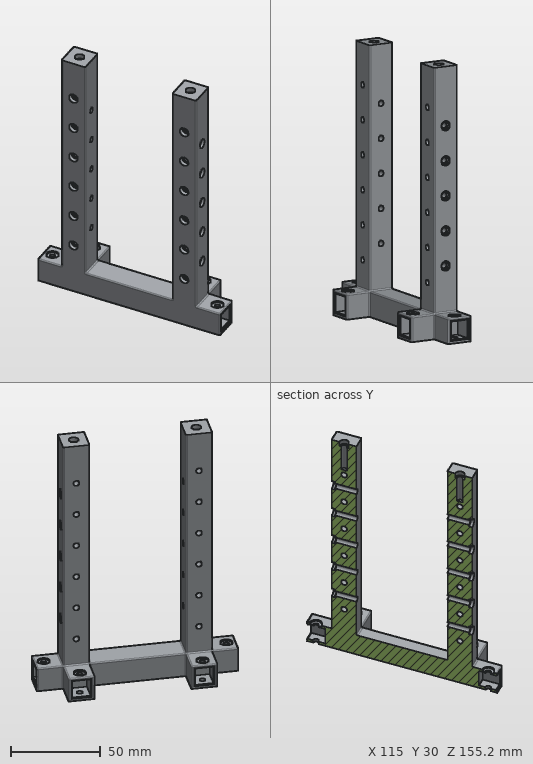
import cadquery as cq

length = 115.0
depth = 30.0
height = 155.2
bar = 15.0
base_height = 14.7
post_spacing = 70.0
edge_radius = 0.7

bore = 3.3
post_recess = 5.5
post_recess_depth = 3.0
side_recess_depth = 2.0
top_bore_depth = 20.0
foot_recess = 7.0
foot_recess_depth = 1.0
foot_hole_inset = 5.5

hole_pitch = 20.0
front_hole_count = 6
first_front_hole = 31.2
side_hole_count = 5
first_side_hole = first_front_hole + hole_pitch / 2

pocket = 10.4
pocket_depth = 2 * foot_hole_inset
rim_bevel = 0.6

post_x = post_spacing / 2
bar_mid = bar / 2


def block(x_size, y_size, z_size, x_mid=0):
    """Block resting on Z = 0 with its front on Y = 0, centred on x_mid."""
    solid = cq.Workplane("XY").box(x_size, y_size, z_size, centered=(True, False, False))
    return solid.translate((x_mid, 0, 0))


def stepped_hole(mouth, direction, recess, recess_depth, bore_depth):
    """Cutter for a bore with a wider flat-bottomed recess at its mouth."""
    start = cq.Vector(*mouth)
    axis = cq.Vector(*direction)
    wide = cq.Solid.makeCylinder(recess / 2, recess_depth, start, axis)
    narrow = cq.Solid.makeCylinder(bore / 2, bore_depth, start, axis)
    return cq.Workplane(obj=wide).union(cq.Workplane(obj=narrow))


def end_pocket(mouth, inward):
    """Cutter for a square pocket with a bevelled rim."""
    plane = cq.Plane(mouth, xDir=(0, 0, 1), normal=inward)
    rim = pocket + 2 * rim_bevel
    flare = cq.Workplane(plane).rect(rim, rim).extrude(rim_bevel, taper=45)
    return cq.Workplane(plane).rect(pocket, pocket).extrude(pocket_depth).union(flare)


def frame_body():
    """Base bar, two posts and a foot behind each post, with rounded edges."""
    body = block(length, bar, base_height)
    for x in (-post_x, post_x):
        body = body.union(block(bar, bar, height, x))
        body = body.union(block(bar, depth, base_height, x))
    return body.clean().edges("not(<Z or >Z)").fillet(edge_radius)


def cut_post_holes(body, side):
    """Front row, side row and top hole of the post on one side (-1 or 1)."""
    x = side * post_x
    for i in range(front_hole_count):
        mouth = (x, 0, first_front_hole + i * hole_pitch)
        body = body.cut(stepped_hole(mouth, (0, 1, 0), post_recess, post_recess_depth, bar))
    for i in range(side_hole_count):
        mouth = (x + side * bar_mid, bar_mid, first_side_hole + i * hole_pitch)
        body = body.cut(stepped_hole(mouth, (-side, 0, 0), post_recess, side_recess_depth, bar))
    mouth = (x, bar_mid, height)
    return body.cut(stepped_hole(mouth, (0, 0, -1), post_recess, post_recess_depth, top_bore_depth))


def cut_foot_ends(body, side):
    """Pockets and screw holes in the base end and the rear foot on one side."""
    x = side * post_x
    end_x = side * length / 2
    base_mid = base_height / 2
    body = body.cut(end_pocket((end_x, bar_mid, base_mid), (-side, 0, 0)))
    body = body.cut(end_pocket((x, depth, base_mid), (0, -1, 0)))
    for spot in ((end_x - side * foot_hole_inset, bar_mid), (x, depth - foot_hole_inset)):
        mouth = (*spot, base_height)
        body = body.cut(stepped_hole(mouth, (0, 0, -1), foot_recess, foot_recess_depth, base_height))
    return body


result = frame_body()
for side in (-1, 1):
    result = cut_post_holes(result, side)
    result = cut_foot_ends(result, side)